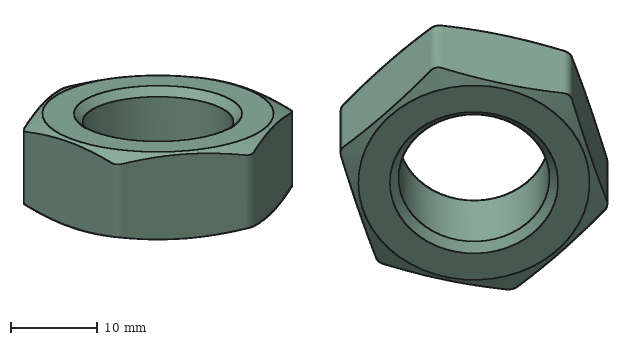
import cadquery as cq
import math

corner_width = 31.75
flat_width = 27.85
height = 10.75
bore_diameter = 17.45
bore_mouth_diameter = 19.45
bore_chamfer_angle = 45.0
face_diameter = 26.75
corner_chamfer_angle = 20.0

sharp_corner_width = flat_width / math.cos(math.radians(30))
corner_radius = (sharp_corner_width - corner_width) / 2 / (1 / math.cos(math.radians(30)) - 1)
half_height = height / 2
bore_chamfer_depth = (bore_mouth_diameter - bore_diameter) / 2 * math.tan(math.radians(bore_chamfer_angle))
corner_chamfer_drop = (sharp_corner_width - face_diameter) / 2 * math.tan(math.radians(corner_chamfer_angle))


def rounded_hexagon():
    """Hexagonal prism with rounded upright edges, centred on the origin."""
    prism = cq.Workplane("XY").polygon(6, sharp_corner_width).extrude(half_height, both=True)
    return prism.edges("|Z").fillet(corner_radius)


def turned_envelope():
    """Nut section turned about Z: conical outer chamfers and a bore chamfered at both ends."""
    bore_radius = bore_diameter / 2
    mouth_radius = bore_mouth_diameter / 2
    face_radius = face_diameter / 2
    outer_radius = sharp_corner_width / 2
    bore_end = half_height - bore_chamfer_depth
    rim_end = half_height - corner_chamfer_drop
    section = (
        cq.Workplane("XZ")
        .moveTo(bore_radius, -bore_end)
        .lineTo(mouth_radius, -half_height)
        .lineTo(face_radius, -half_height)
        .lineTo(outer_radius, -rim_end)
        .lineTo(outer_radius, rim_end)
        .lineTo(face_radius, half_height)
        .lineTo(mouth_radius, half_height)
        .lineTo(bore_radius, bore_end)
        .close()
    )
    return section.revolve(360, (0, 0, 0), (0, 1, 0))


result = rounded_hexagon().intersect(turned_envelope())